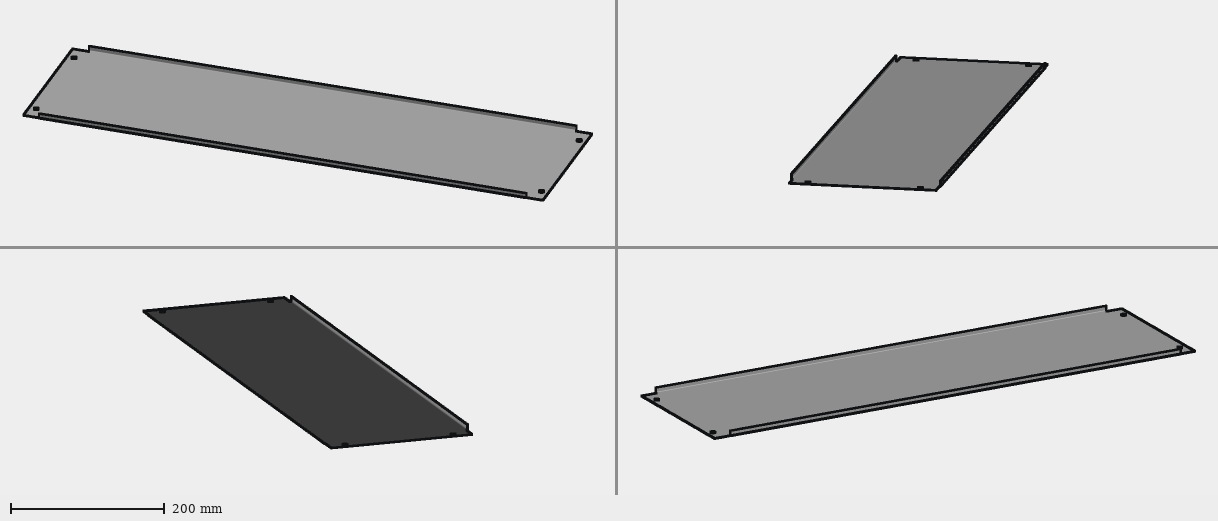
import cadquery as cq

length = 717.0
width = 199.0
height = 8.0

thickness = 1.0
bend_outer_radius = 2.0
bend_inner_radius = bend_outer_radius - thickness

flange_end_gap = 22.0
flange_length = length - 2 * flange_end_gap

hole_diameter = 6.5
hole_end_distance = 10.0
hole_pitch_x = length - 2 * hole_end_distance
hole_pitch_y = 150.0


def flat_panel():
    """Full-length flat sheet, reaching across to the start of each bend."""
    flat_width = width - 2 * bend_outer_radius
    return cq.Workplane("XY").box(length, flat_width, thickness, centered=(True, True, False))


def flanged_channel():
    """Shallow channel with both long edges bent upward."""
    outer = (
        cq.Workplane("XY")
        .box(flange_length, width, height, centered=(True, True, False))
        .edges("|X and <Z")
        .fillet(bend_outer_radius)
    )
    inner = (
        cq.Workplane("XY")
        .workplane(offset=thickness)
        .box(flange_length, width - 2 * thickness, height, centered=(True, True, False))
        .edges("|X and <Z")
        .fillet(bend_inner_radius)
    )
    return outer.cut(inner)


def mounting_holes():
    """Cutters for the four holes through the sheet."""
    return (
        cq.Workplane("XY")
        .rarray(hole_pitch_x, hole_pitch_y, 2, 2)
        .circle(hole_diameter / 2)
        .extrude(thickness)
    )


result = flat_panel().union(flanged_channel()).cut(mounting_holes())